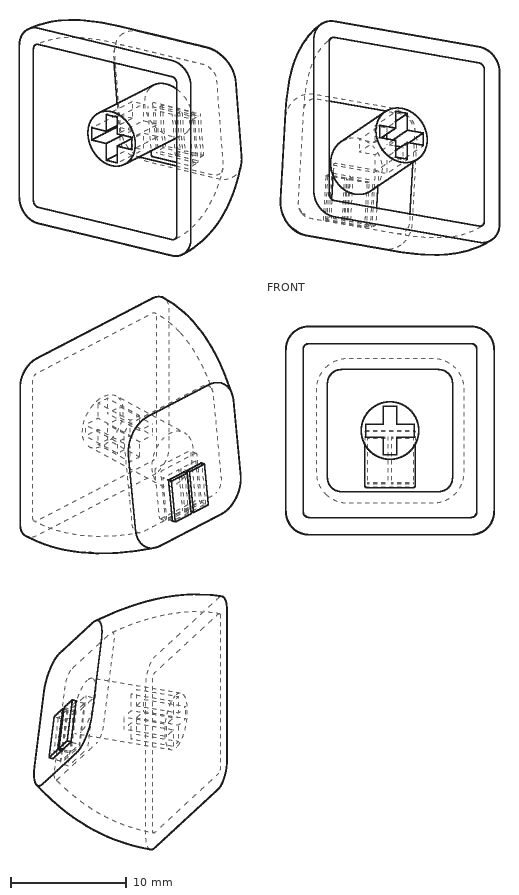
import cadquery as cq
import math


BASE_SIDE = 18.1
BASE_CORNER = 2.01
ROOF_WIDTH = 12.81
ROOF_HEIGHT = 12.56
ROOF_CORNER = 2.72
ROOF_Y = 11.17
ROOF_TILT = 7.0
ROOF_SLOPE = math.tan(math.radians(ROOF_TILT))
WALL = 1.5

CEILING_WIDTH = 10.86
CEILING_HEIGHT = 10.6
CEILING_Y = ROOF_Y - WALL / math.cos(math.radians(ROOF_TILT))

STEM_DIAMETER = 5.0
STEM_START_Y = 1.0
CROSS_LENGTH = 4.24
CROSS_WIDTH = 1.14
CROSS_DEPTH = 3.98

PLATE_WIDTH = 4.38
PLATE_TOP = 0.05
PLATE_BOTTOM = 5.0
PLATE_CORNER = 0.18
PLATE_THICKNESS = WALL / 2
PAD_TOP = 0.6
PAD_BOTTOM = 4.58
PAD_RISE = 0.36
PAD_SPANS = [(-2.0, -0.18), (0.09, 2.03)]

LOFT_STEPS = 6


def tilted_plane(y, slope):
    """Plane crossing the Y axis at y, facing +Y; its local y points down, towards -Z."""
    return cq.Plane(origin=(0, y, 0), xDir=(1, 0, 0), normal=(0, 1, slope))


def domed_block(base_side, base_corner, end_width, end_height, end_corner, end_y):
    """Square block with parabolic sides, upright at y = 0, closing to a tilted end face."""
    sections = []
    for step in range(LOFT_STEPS + 1):
        t = step / LOFT_STEPS
        width = base_side + (end_width - base_side) * t**2
        height = base_side + (end_height - base_side) * t**2
        corner = base_corner + (end_corner - base_corner) * t**2
        slope = t * ROOF_SLOPE * end_height / height
        height_in_plane = height * math.hypot(1, slope)
        plane = tilted_plane(t * end_y, slope)
        outline = cq.Workplane(plane).rect(width, height_in_plane).val()
        sections.append(outline.fillet2D(corner, outline.Vertices()))
    return cq.Workplane(cq.Solid.makeLoft(sections))


def make_stem(outer_block):
    """Round stem reaching up into the roof, with a blind cross socket."""
    front = cq.Workplane(tilted_plane(STEM_START_Y, 0))
    stem = front.circle(STEM_DIAMETER / 2).extrude(ROOF_Y - STEM_START_Y).intersect(outer_block)
    for size in [(CROSS_LENGTH, CROSS_WIDTH), (CROSS_WIDTH, CROSS_LENGTH)]:
        stem = stem.cut(front.rect(*size).extrude(CROSS_DEPTH))
    return stem


def make_legend_insert():
    """Plate flush with the ceiling, with pads that pass through the roof and stand proud."""
    ceiling = tilted_plane(CEILING_Y, ROOF_SLOPE)
    roof = tilted_plane(ROOF_Y, ROOF_SLOPE)
    insert = (
        cq.Workplane(ceiling)
        .center(0, (PLATE_TOP + PLATE_BOTTOM) / 2)
        .rect(PLATE_WIDTH, PLATE_BOTTOM - PLATE_TOP)
        .extrude(PLATE_THICKNESS)
        .edges(cq.selectors.ParallelDirSelector(ceiling.zDir))
        .fillet(PLATE_CORNER)
    )

    for left, right in PAD_SPANS:
        pad = (
            cq.Workplane(roof)
            .workplane(offset=PAD_RISE)
            .center((left + right) / 2, (PAD_TOP + PAD_BOTTOM) / 2)
            .rect(right - left, PAD_BOTTOM - PAD_TOP)
            .extrude(PLATE_THICKNESS - WALL - PAD_RISE)
        )
        insert = insert.union(pad)
    return insert


outer = domed_block(BASE_SIDE, BASE_CORNER, ROOF_WIDTH, ROOF_HEIGHT, ROOF_CORNER, ROOF_Y)
cavity = domed_block(
    BASE_SIDE - 2 * WALL, BASE_CORNER - WALL,
    CEILING_WIDTH, CEILING_HEIGHT, ROOF_CORNER - WALL, CEILING_Y,
)
legend_insert = make_legend_insert()
keycap = outer.cut(cavity).union(make_stem(outer)).cut(legend_insert)

result = cq.Compound.makeCompound([keycap.solids().val(), legend_insert.solids().val()])